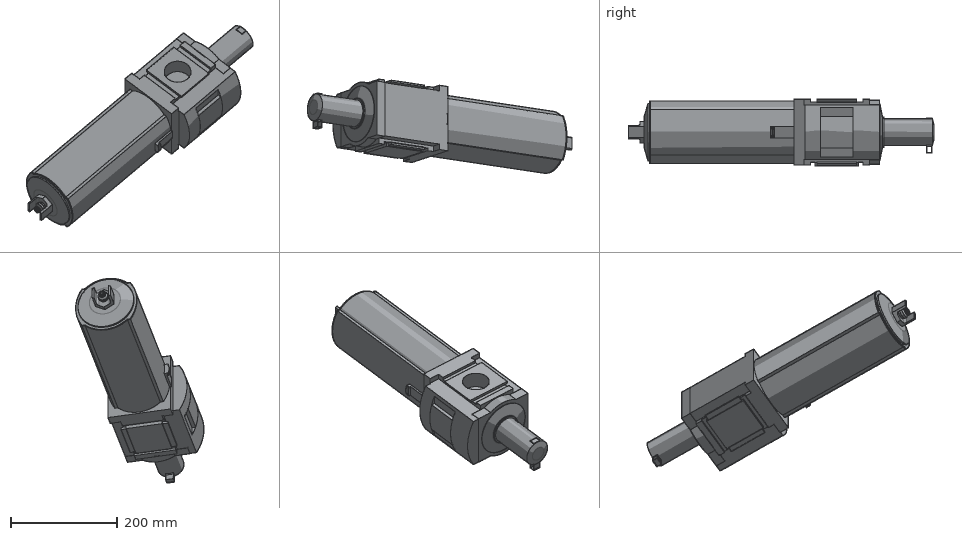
import cadquery as cq
import math


BLOCK_HALF_X = 60.5
BLOCK_HALF_Z = 62.0
CORE_HALF_Z = 51.5
BONNET_HALF_Z = 52.0
CORE_HALF_Y = 61.5
BLOCK_HALF_Y = 80.5

TAB_HALF_X = 40.0
CHANNEL_FLOOR_Z = 57.0
TAB_INNER_Y = 49.0
PAD_HALF_X = 45.5
PAD_HALF_Y = 37.5
PAD_RIM_Z = 58.7
PAD_ROOT_Z = 56.0
PORT_DIAMETER = 50.0
PORT_DEPTH = 32.0
BASE_PLATE_HALF_X = 35.0
BASE_PLATE_HALF_Y = 41.0
BASE_PLATE_Z = 64.0

COVER_FLAT_X = 73.0
COVER_CROWN_X = 87.5
COVER_BOTTOM_Y = -60.0
GRIP_HALF_Y = 30.5
GRIP_FLOOR_X = 76.0
GRIP_EDGE_X = 83.0
GRIP_CROWN_RECESS = 0.2

BOWL_RADIUS = 59.0
BOWL_SIDE_X = 59.3
RIB_CORNER_X = 46.8
RIB_STEP_Z = 42.5
BOWL_END_Y = -352.0
BOWL_EDGE_LENGTH = 2.2
BOWL_EDGE_INSET = 0.3
END_DISC_RADIUS = 108.0 / 2
END_DISC_LENGTH = 3.0
END_FACE_RADIUS = 60.0 / 2
END_FACE_Y = -362.0

LATCH_HALF_Z = 10.5
LATCH_STRIP_X = 62.5
LATCH_STRIP_END_Y = -117.0
LATCH_ROOT_X = 55.0
BUTTON_TIP_X = 68.0
BUTTON_TIP_HALF_Z = 4.5
BUTTON_BEVEL = 2.0
BUTTON_END_Y = -124.5
BUTTON_NOTCH_DEPTH = 4.0
BUTTON_NOTCH_HALF_Y = 2.5

DRAIN_ACROSS_FLATS = 35.5
DRAIN_SLOT_HALF_X = 13.7
DRAIN_SLOT_ROOT_Y = -370.0
DRAIN_SLOT_FILLET = 4.0
DRAIN_END_Y = -391.5
NECK_RADIUS = 15.8 / 2
NECK_END_Y = -373.5
COLLAR_RADIUS = 9.3
COLLAR_END_Y = -378.5
BARB_START_Y = -381.5
BARB_RADIUS = 11.8 / 2
BARB_ROOT_RADIUS = 11.0 / 2
BARB_COUNT = 3
BARB_PITCH = 1.9
DRAIN_BORE_DIAMETER = 6.0
DRAIN_BORE_DEPTH = 12.0

CONE_RADIUS = 53.0
CONE_EDGE_Y = 81.5
CONE_TOP_RADIUS = 60.0 / 2
CONE_TOP_Y = 86.0
KNOB_COLLAR_RADIUS = 57.7 / 2
KNOB_COLLAR_END_Y = 88.5
KNOB_RADIUS = 51.0 / 2
KNOB_SHOULDER_Y = 180.0
KNOB_END_RADIUS = 14.0
KNOB_END_Y = 183.0

LOCK_HALF_X = 7.5
LOCK_START_Y = 168.5
LOCK_END_Y = 179.5
LOCK_TOP_Z = 26.3
LOCK_BOTTOM_Z = -39.0
LOCK_EYE_TOP_Z = -27.0
LOCK_WALL = 1.2


def block(x, y, z):
    """Box between the (low, high) limits on each axis."""
    size = (x[1] - x[0], y[1] - y[0], z[1] - z[0])
    return cq.Workplane("XY").box(*size, centered=False).translate((x[0], y[0], z[0]))


def centred_block(half_x, y, half_z):
    """Box symmetric in X and Z."""
    return block((-half_x, half_x), y, (-half_z, half_z))


def along_y(start_y):
    """Sketch plane in X and Z at start_y; a negative extrusion runs toward +Y."""
    return cq.Workplane("XZ", origin=(0, start_y, 0))


def revolve_about_y(profile):
    return profile.close().revolve(360, (0, 0, 0), (0, 1, 0))


def make_pad():
    """Port pad overhanging the channel floor, with sloped undersides."""
    outline = [
        (TAB_HALF_X, PAD_ROOT_Z),
        (PAD_HALF_X, PAD_RIM_Z),
        (PAD_HALF_X, BLOCK_HALF_Z),
        (-PAD_HALF_X, BLOCK_HALF_Z),
        (-PAD_HALF_X, PAD_RIM_Z),
        (-TAB_HALF_X, PAD_ROOT_Z),
    ]
    return along_y(-PAD_HALF_Y).polyline(outline).close().extrude(-2 * PAD_HALF_Y)


def make_block_core():
    core = centred_block(BLOCK_HALF_X, (-CORE_HALF_Y, CORE_HALF_Y), CORE_HALF_Z)
    channel_floor = centred_block(TAB_HALF_X, (-CORE_HALF_Y, CORE_HALF_Y), CHANNEL_FLOOR_Z)
    tab = centred_block(TAB_HALF_X, (TAB_INNER_Y, CORE_HALF_Y), BLOCK_HALF_Z)
    flange = centred_block(BLOCK_HALF_X, (-BLOCK_HALF_Y, -CORE_HALF_Y), BLOCK_HALF_Z)
    pad = make_pad()
    base_plate = block(
        (-BASE_PLATE_HALF_X, BASE_PLATE_HALF_X),
        (-BASE_PLATE_HALF_Y, BASE_PLATE_HALF_Y),
        (-BASE_PLATE_Z, -CORE_HALF_Z),
    )
    core = core.union(channel_floor).union(tab).union(tab.mirror("XZ"))
    return core.union(flange).union(pad).union(pad.mirror("XY")).union(base_plate)


def make_port():
    port = cq.Workplane("XY", origin=(0, 0, BLOCK_HALF_Z)).circle(PORT_DIAMETER / 2)
    return port.extrude(-PORT_DEPTH)


def make_side_cover():
    """Cover with a crowned outer face, stepped down beside its middle to form two finger grips."""
    length = BLOCK_HALF_Y - COVER_BOTTOM_Y
    cover = (
        along_y(COVER_BOTTOM_Y)
        .moveTo(BLOCK_HALF_X, -CORE_HALF_Z)
        .lineTo(COVER_FLAT_X, -CORE_HALF_Z)
        .threePointArc((COVER_CROWN_X, 0), (COVER_FLAT_X, CORE_HALF_Z))
        .lineTo(BLOCK_HALF_X, CORE_HALF_Z)
        .close()
        .extrude(-length)
    )
    sagitta = COVER_CROWN_X - COVER_FLAT_X
    crown_radius = (CORE_HALF_Z**2 + sagitta**2) / (2 * sagitta)
    crown_centre_x = COVER_CROWN_X - crown_radius
    grip_edge_z = math.sqrt(crown_radius**2 - (GRIP_EDGE_X - crown_centre_x) ** 2)
    grip = block((GRIP_FLOOR_X, COVER_CROWN_X), (-GRIP_HALF_Y, GRIP_HALF_Y), (-CORE_HALF_Z, CORE_HALF_Z))
    middle = (
        along_y(-GRIP_HALF_Y)
        .moveTo(GRIP_FLOOR_X, -grip_edge_z)
        .lineTo(GRIP_EDGE_X, -grip_edge_z)
        .threePointArc((COVER_CROWN_X - GRIP_CROWN_RECESS, 0), (GRIP_EDGE_X, grip_edge_z))
        .lineTo(GRIP_FLOOR_X, grip_edge_z)
        .close()
        .extrude(-2 * GRIP_HALF_Y)
    )
    return cover.cut(grip.cut(middle))


def bowl_section(inset):
    """Round section with a wider crowned rib on each side, shrunk by inset."""
    radius = BOWL_RADIUS - inset
    step_z = RIB_STEP_Z - inset
    step_x = math.sqrt(radius**2 - step_z**2)
    corner_x = RIB_CORNER_X - inset
    side_x = BOWL_SIDE_X - inset
    return (
        along_y(BOWL_END_Y)
        .moveTo(-step_x, step_z)
        .threePointArc((0, radius), (step_x, step_z))
        .lineTo(corner_x, step_z)
        .threePointArc((side_x, 0), (corner_x, -step_z))
        .lineTo(step_x, -step_z)
        .threePointArc((0, -radius), (-step_x, -step_z))
        .lineTo(-corner_x, -step_z)
        .threePointArc((-side_x, 0), (-corner_x, step_z))
        .close()
    )


def make_bowl():
    full_section_end = BOWL_END_Y + BOWL_EDGE_LENGTH
    length = -BLOCK_HALF_Y - full_section_end
    wall = bowl_section(0).extrude(-length).translate((0, BOWL_EDGE_LENGTH, 0))
    edge_step = bowl_section(BOWL_EDGE_INSET).extrude(-BOWL_EDGE_LENGTH)
    end_cap = revolve_about_y(
        cq.Workplane("XY")
        .moveTo(0, BOWL_END_Y)
        .lineTo(END_DISC_RADIUS, BOWL_END_Y)
        .lineTo(END_DISC_RADIUS, BOWL_END_Y - END_DISC_LENGTH)
        .lineTo(END_FACE_RADIUS, END_FACE_Y)
        .lineTo(0, END_FACE_Y)
    )
    return wall.union(edge_step).union(end_cap)


def make_latch():
    """Strip down the bowl side ending in a notched release button."""
    strip = block(
        (LATCH_ROOT_X, LATCH_STRIP_X),
        (LATCH_STRIP_END_Y, -BLOCK_HALF_Y),
        (-LATCH_HALF_Z, LATCH_HALF_Z),
    )
    shoulder_x = BUTTON_TIP_X - BUTTON_BEVEL
    button = (
        along_y(BUTTON_END_Y)
        .polyline([
            (LATCH_ROOT_X, -LATCH_HALF_Z),
            (shoulder_x, -LATCH_HALF_Z),
            (BUTTON_TIP_X, -BUTTON_TIP_HALF_Z),
            (BUTTON_TIP_X, BUTTON_TIP_HALF_Z),
            (shoulder_x, LATCH_HALF_Z),
            (LATCH_ROOT_X, LATCH_HALF_Z),
        ])
        .close()
        .extrude(BUTTON_END_Y - LATCH_STRIP_END_Y)
    )
    notch_y = (BUTTON_END_Y + LATCH_STRIP_END_Y) / 2
    notch = (
        cq.Workplane("XY")
        .polyline([
            (BUTTON_TIP_X, notch_y - BUTTON_NOTCH_HALF_Y),
            (BUTTON_TIP_X - BUTTON_NOTCH_DEPTH, notch_y),
            (BUTTON_TIP_X, notch_y + BUTTON_NOTCH_HALF_Y),
        ])
        .close()
        .extrude(LATCH_HALF_Z, both=True)
    )
    return strip.union(button.cut(notch))


def make_drain():
    """Hexagon slotted into two prongs, with a bored barbed nipple between them."""
    across_corners = DRAIN_ACROSS_FLATS / math.cos(math.pi / 6)
    hexagon = (
        along_y(END_FACE_Y)
        .transformed(rotate=(0, 0, 90))
        .polygon(6, across_corners)
        .extrude(END_FACE_Y - DRAIN_END_Y)
    )
    slot = centred_block(DRAIN_SLOT_HALF_X, (DRAIN_END_Y, DRAIN_SLOT_ROOT_Y), across_corners)
    slot = slot.faces(">Y").edges("|Z").fillet(DRAIN_SLOT_FILLET)
    nipple = (
        cq.Workplane("XY")
        .moveTo(0, END_FACE_Y)
        .lineTo(NECK_RADIUS, END_FACE_Y)
        .lineTo(NECK_RADIUS, NECK_END_Y)
        .lineTo(COLLAR_RADIUS, NECK_END_Y)
        .lineTo(COLLAR_RADIUS, COLLAR_END_Y)
        .lineTo(BARB_ROOT_RADIUS, BARB_START_Y)
    )
    for index in range(BARB_COUNT):
        barb_y = BARB_START_Y - index * BARB_PITCH
        nipple = nipple.lineTo(BARB_RADIUS, barb_y).lineTo(BARB_ROOT_RADIUS, barb_y - BARB_PITCH)
    nipple = revolve_about_y(nipple.lineTo(0, BARB_START_Y - BARB_COUNT * BARB_PITCH))
    tip_y = BARB_START_Y - BARB_COUNT * BARB_PITCH
    bore = along_y(tip_y).circle(DRAIN_BORE_DIAMETER / 2).extrude(-DRAIN_BORE_DEPTH)
    return hexagon.cut(slot).union(nipple).cut(bore)


def make_housing():
    housing = make_block_core().cut(make_port())
    housing = housing.union(make_bowl()).union(make_latch()).union(make_drain())
    return housing.union(make_side_cover().cut(make_bonnet_plate()))


def make_bonnet_plate():
    """Rectangular plate whose round middle stands out above and below."""
    plate = centred_block(BLOCK_HALF_X, (CORE_HALF_Y, BLOCK_HALF_Y), BONNET_HALF_Z)
    disc = along_y(CORE_HALF_Y).circle(BLOCK_HALF_X).extrude(CORE_HALF_Y - BLOCK_HALF_Y)
    return plate.union(disc)


def make_knob():
    """Conical bonnet top, collar and adjusting knob in one turned profile."""
    return revolve_about_y(
        cq.Workplane("XY")
        .moveTo(0, BLOCK_HALF_Y)
        .lineTo(CONE_RADIUS, BLOCK_HALF_Y)
        .lineTo(CONE_RADIUS, CONE_EDGE_Y)
        .lineTo(CONE_TOP_RADIUS, CONE_TOP_Y)
        .lineTo(KNOB_COLLAR_RADIUS, CONE_TOP_Y)
        .lineTo(KNOB_COLLAR_RADIUS, KNOB_COLLAR_END_Y)
        .lineTo(KNOB_RADIUS, KNOB_COLLAR_END_Y)
        .lineTo(KNOB_RADIUS, KNOB_SHOULDER_Y)
        .lineTo(KNOB_END_RADIUS, KNOB_END_Y)
        .lineTo(0, KNOB_END_Y)
    )


def make_lock_bar():
    """Flat bar with a padlock eye where it leaves the knob underneath."""
    lock_x = (-LOCK_HALF_X, LOCK_HALF_X)
    bar = block(lock_x, (LOCK_START_Y, LOCK_END_Y), (LOCK_BOTTOM_Z, LOCK_TOP_Z))
    eye = block(
        lock_x,
        (LOCK_START_Y + LOCK_WALL, LOCK_END_Y - LOCK_WALL),
        (LOCK_BOTTOM_Z + LOCK_WALL, LOCK_EYE_TOP_Z),
    )
    return bar.cut(eye)


def make_bonnet():
    return make_bonnet_plate().union(make_knob()).union(make_lock_bar())


housing = make_housing()
bonnet = make_bonnet()
result = cq.Compound.makeCompound([*housing.solids().vals(), *bonnet.solids().vals()])